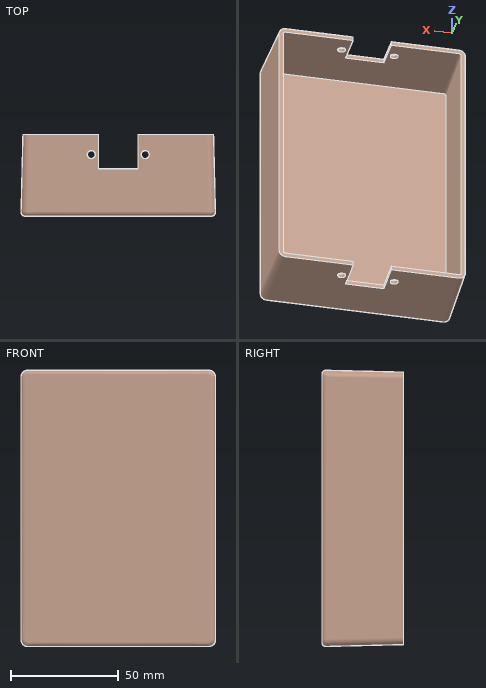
import cadquery as cq
import math

back_width = 88.9
back_height = 127.0
depth = 38.1
draft_angle = 1.378
wall = 1.985
corner_radius = 3.175
front_radius = 1.905

notch_width = 18.2
notch_depth = 15.875
hole_diameter = 3.6
hole_spacing = 25.1
hole_setback = 9.4

rim_y = depth / 2
through_length = 2 * back_height


def drafted_block(inset):
    """Block with rounded long edges, widening toward the front, inset from the outer front and sides."""
    side_inset = inset / math.cos(math.radians(draft_angle))
    block_depth = depth - inset
    rim_width = back_width - 2 * side_inset
    rim_height = back_height - 2 * side_inset
    growth = 2 * block_depth * math.tan(math.radians(draft_angle))
    return (
        cq.Workplane("XZ", origin=(0, rim_y, 0))
        .rect(rim_width, rim_height)
        .workplane(offset=block_depth)
        .rect(rim_width + growth, rim_height + growth)
        .loft(ruled=True)
        .edges("not(#Y)")
        .fillet(corner_radius - inset)
    )


def cable_notch():
    """Rectangular notch at the open rim, passing through both end walls."""
    return cq.Workplane("XY", origin=(0, rim_y, 0)).box(notch_width, 2 * notch_depth, through_length)


def screw_holes():
    """Pair of holes flanking the notch, passing through both end walls."""
    return (
        cq.Workplane("XY", origin=(0, rim_y - hole_setback, 0))
        .rarray(hole_spacing, 1, 2, 1)
        .circle(hole_diameter / 2)
        .extrude(through_length / 2, both=True)
    )


outer_body = drafted_block(0).faces("<Y").edges().fillet(front_radius)
cavity = drafted_block(wall)
result = outer_body.cut(cavity).cut(cable_notch()).cut(screw_holes())